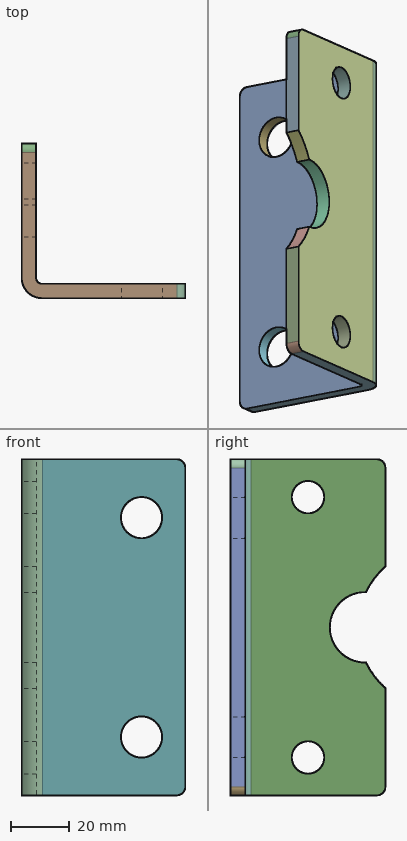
import cadquery as cq

front_width = 56.0
side_width = 53.0
height = 115.0
thickness = 5.0

inner_bend_radius = 2.0
outer_bend_radius = inner_bend_radius + thickness
corner_radius = 3.0

front_hole_diameter = 14.0
front_hole_x = 41.0
front_hole_spacing = 75.0

side_hole_diameter = 11.0
side_hole_y = 26.5
side_hole_spacing = 89.0

notch_radius = 12.0
notch_center_y = 46.0
mouth_radius = 27.7
mouth_center_y = 71.3

mid_height = height / 2


def bent_plate():
    """L-shaped plate with its outer bend corner at the origin, standing along Z."""
    plate = (
        cq.Workplane("XY")
        .moveTo(0, 0)
        .lineTo(front_width, 0)
        .lineTo(front_width, thickness)
        .lineTo(thickness, thickness)
        .lineTo(thickness, side_width)
        .lineTo(0, side_width)
        .close()
        .extrude(height)
    )
    outer_corner = cq.selectors.NearestToPointSelector((0, 0, mid_height))
    inner_corner = cq.selectors.NearestToPointSelector((thickness, thickness, mid_height))
    plate = plate.edges(outer_corner).fillet(outer_bend_radius)
    return plate.edges(inner_corner).fillet(inner_bend_radius)


def round_free_corners(plate):
    """Round the top and bottom corners at the free end of each flange."""
    plate = plate.faces(">X").edges("|Y").fillet(corner_radius)
    return plate.faces(">Y").edges("|X").fillet(corner_radius)


def front_cylinder(diameter, x, z):
    """Cutter that passes through the front flange along Y."""
    return cq.Workplane("XZ").center(x, z).circle(diameter / 2).extrude(-thickness)


def side_cylinder(diameter, y, z):
    """Cutter that passes through the side flange along X."""
    return cq.Workplane("YZ").center(y, z).circle(diameter / 2).extrude(thickness)


def cut_holes(plate):
    """Cut one pair of holes in each flange, symmetric about mid height."""
    for side in (-1, 1):
        front_hole_z = mid_height + side * front_hole_spacing / 2
        side_hole_z = mid_height + side * side_hole_spacing / 2
        plate = plate.cut(front_cylinder(front_hole_diameter, front_hole_x, front_hole_z))
        plate = plate.cut(side_cylinder(side_hole_diameter, side_hole_y, side_hole_z))
    return plate


def cut_notch(plate):
    """Cut the small arc and the wide mouth into the side flange."""
    plate = plate.cut(side_cylinder(2 * notch_radius, notch_center_y, mid_height))
    return plate.cut(side_cylinder(2 * mouth_radius, mouth_center_y, mid_height))


result = cut_notch(cut_holes(round_free_corners(bent_plate())))